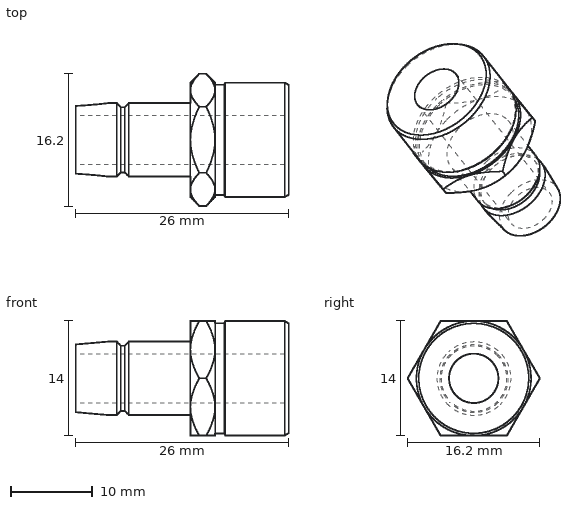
import cadquery as cq
import math

nose_end = 4.0
groove_start = 5.0
groove_width = 1.5
hex_start = 14.0
hex_thickness = 3.0
body_start = 18.25
total_length = 26.0

bore_radius = 3.0
tip_radius = 4.15
spigot_radius = 4.5
groove_radius = 4.0
relief_radius = 6.75
body_radius = 7.0

across_flats = 14.0

edge_break_angle = math.radians(30)
rear_chamfer_length = 0.5

groove_end = groove_start + groove_width
groove_wall = spigot_radius - groove_radius
hex_end = hex_start + hex_thickness
hex_corner_radius = across_flats / math.sqrt(3)
hex_chamfer = hex_corner_radius - across_flats / 2
rear_chamfer_depth = rear_chamfer_length * math.tan(edge_break_angle)
relief_chamfer_length = (body_radius - relief_radius) * math.tan(edge_break_angle)
relief_end = body_start - relief_chamfer_length


def make_spigot():
    """Hose spigot with a tapered nose and a groove with 45 degree walls."""
    profile = (
        cq.Workplane("XZ")
        .moveTo(0, 0)
        .lineTo(0, tip_radius)
        .lineTo(nose_end, spigot_radius)
        .lineTo(groove_start, spigot_radius)
        .lineTo(groove_start + groove_wall, groove_radius)
        .lineTo(groove_end - groove_wall, groove_radius)
        .lineTo(groove_end, spigot_radius)
        .lineTo(hex_end, spigot_radius)
        .lineTo(hex_end, 0)
        .close()
    )
    return profile.revolve(360, (0, 0, 0), (1, 0, 0))


def make_hex():
    """Hexagonal collar with its corners turned off at 45 degrees on both faces."""
    prism = (
        cq.Workplane("YZ", origin=(hex_start, 0, 0))
        .polygon(6, 2 * hex_corner_radius)
        .extrude(hex_thickness)
    )
    turned_blank = (
        cq.Workplane("YZ", origin=(hex_start, 0, 0))
        .circle(hex_corner_radius)
        .extrude(hex_thickness)
        .edges()
        .chamfer(hex_chamfer)
    )
    return prism.intersect(turned_blank)


def make_body():
    """Cylindrical body behind the hexagon, with a relief neck and a chamfered rear edge."""
    profile = (
        cq.Workplane("XZ")
        .moveTo(hex_start, 0)
        .lineTo(hex_start, relief_radius)
        .lineTo(relief_end, relief_radius)
        .lineTo(body_start, body_radius)
        .lineTo(total_length - rear_chamfer_length, body_radius)
        .lineTo(total_length, body_radius - rear_chamfer_depth)
        .lineTo(total_length, 0)
        .close()
    )
    return profile.revolve(360, (0, 0, 0), (1, 0, 0))


def make_bore():
    """Straight passage through the full length."""
    return cq.Workplane("YZ").circle(bore_radius).extrude(total_length)


result = make_spigot().union(make_hex()).union(make_body()).cut(make_bore())